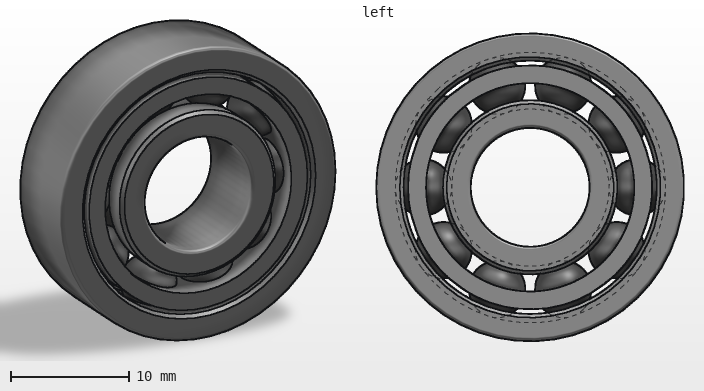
import cadquery as cq
import math


OUTER_DIAMETER = 26.0
BORE_DIAMETER = 10.0
WIDTH = 8.0

OUTER_LAND_RADIUS = 10.69
INNER_LAND_RADIUS = 7.35
MOUNTING_EDGE_FILLET = 0.3
LAND_CHAMFER = 0.3

BALL_COUNT = 10
BALL_RADIUS = 2.4
PITCH_RADIUS = (OUTER_LAND_RADIUS + INNER_LAND_RADIUS) / 2

CAGE_OUTER_RADIUS = 10.3
CAGE_INNER_RADIUS = 8.8
CAGE_SETBACK = 0.15
CAGE_WIDTH = WIDTH - 2 * CAGE_SETBACK

SMALLEST_CIRCLES = cq.selectors.RadiusNthSelector(0)
LARGEST_CIRCLES = cq.selectors.RadiusNthSelector(-1)


def tube(outer_radius, inner_radius, width):
    """Plain tube around the X axis, centred on the YZ plane."""
    return (
        cq.Workplane("YZ", origin=(-width / 2, 0, 0))
        .circle(outer_radius)
        .circle(inner_radius)
        .extrude(width)
    )


def end_edges(ring, circles):
    """The chosen circular edges on both end faces of a ring."""
    return ring.faces("<X or >X").edges(circles)


def ball_track():
    """Torus swept by the balls; cutting it leaves a matching groove in a ring."""
    centre = cq.Vector(0, 0, 0)
    axis = cq.Vector(1, 0, 0)
    return cq.Workplane(cq.Solid.makeTorus(PITCH_RADIUS, BALL_RADIUS, centre, axis))


def make_outer_ring():
    ring = tube(OUTER_DIAMETER / 2, OUTER_LAND_RADIUS, WIDTH)
    ring = end_edges(ring, LARGEST_CIRCLES).fillet(MOUNTING_EDGE_FILLET)
    ring = end_edges(ring, SMALLEST_CIRCLES).chamfer(LAND_CHAMFER)
    return ring.cut(ball_track())


def make_inner_ring():
    ring = tube(INNER_LAND_RADIUS, BORE_DIAMETER / 2, WIDTH)
    ring = end_edges(ring, SMALLEST_CIRCLES).fillet(MOUNTING_EDGE_FILLET)
    ring = end_edges(ring, LARGEST_CIRCLES).chamfer(LAND_CHAMFER)
    return ring.cut(ball_track())


def make_caged_balls():
    """Cage ring joined to the evenly spaced balls it carries, as one solid."""
    cage = tube(CAGE_OUTER_RADIUS, CAGE_INNER_RADIUS, CAGE_WIDTH)
    for index in range(BALL_COUNT):
        angle = 2 * math.pi * index / BALL_COUNT
        centre = (0, PITCH_RADIUS * math.cos(angle), PITCH_RADIUS * math.sin(angle))
        ball = cq.Workplane("XY").sphere(BALL_RADIUS).translate(centre)
        cage = cage.union(ball)
    return cage


outer_ring = make_outer_ring().solids()
inner_ring = make_inner_ring().solids()
caged_balls = make_caged_balls().solids()

result = cq.Compound.makeCompound([outer_ring.val(), inner_ring.val(), caged_balls.val()])